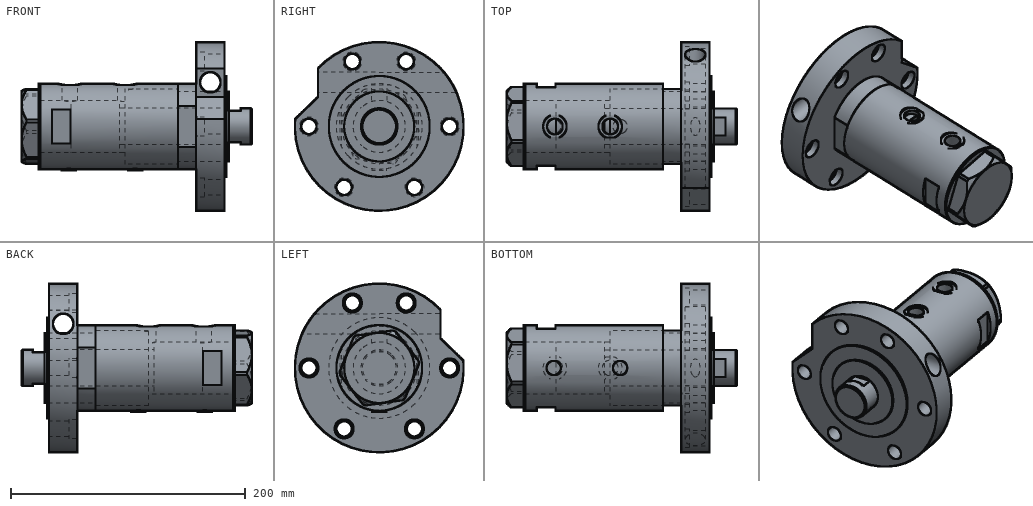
import cadquery as cq
import math


COLLAR_START = 14.5
BARREL_START = 16.1
PISTON_START = 42.0
PISTON_END = 83.5
GUIDE_START = 88.5
NECK_START = 133.5
FLANGE_START = 148.8
FLANGE_END = 173.1
REGISTER_END = 175.0
GUIDE_END = 176.7
KEY_FLAT_END = 186.7
ROD_END = 196.5

BODY_RADIUS = 36.5
BORE_RADIUS = 22.2
GUIDE_SPIGOT_RADIUS = 31.8
ROD_RADIUS = 15.5
FLANGE_DIAMETER = 144.0
FLANGE_RADIUS = FLANGE_DIAMETER / 2
REGISTER_RADIUS = 43.0
GUIDE_NOSE_RADIUS = 29.9

HEX_APOTHEM = 30.0
HEX_CORNER_RADIUS = 34.0
HEX_FACE_RADIUS = 29.9
HEX_TURN = 22.0

PORT_CENTRES = (41.3, 88.5)
PORT_RADIUS = 6.7
SPOTFACE_RADIUS = 10.0
SPOTFACE_HEIGHT = 35.4
WRENCH_FLAT_START = 26.0
WRENCH_FLAT_END = 41.7
WRENCH_FLAT_OFFSET = 33.6
BOSS_CENTRES = (40.3, 96.9)
BOSS_RADIUS = 6.0
BOSS_REACH = 37.7

NECK_FLAT_OFFSET = 32.0
BOLT_CIRCLE_RADIUS = 60.0
BOLT_ANGLES = (0.0, 67.5, 112.5, 180.0, 240.0, 300.0)
BOLT_HOLE_RADIUS = 6.5
COUNTERBORE_RADIUS = 8.0
COUNTERBORE_DEPTH = 7.0
NOTCH_FACE_Y = -52.3
NOTCH_CORNER_Z = 25.2
NOTCH_RIM_Z = 6.3
CROSS_HOLE_Z = 37.5
CROSS_HOLE_RADIUS = 8.6

KEY_FLAT_OFFSET = 13.5
ROD_CHAMFER = 1.2


def cylinder_x(radius, start, end):
    """Cylinder on the main axis between two X stations."""
    return cq.Workplane("YZ", origin=(start, 0, 0)).circle(radius).extrude(end - start)


def cylinder_z(radius, x, bottom, top):
    """Upright cylinder whose axis crosses the main axis at x."""
    return cq.Workplane("XY", origin=(x, 0, bottom)).circle(radius).extrude(top - bottom)


def flat_cutters(start, end, offset, axis):
    """Two blocks that leave flats at +offset and -offset along the given cross axis."""
    length = end - start
    depth = BODY_RADIUS - offset
    upper = (
        cq.Workplane("XY")
        .box(length, 2 * BODY_RADIUS, depth)
        .translate((start + length / 2, 0, offset + depth / 2))
    )
    pair = upper.union(upper.mirror("XY"))
    if axis == "Y":
        pair = pair.rotate((0, 0, 0), (1, 0, 0), 90)
    return pair


def make_cap():
    """Chamfered hexagon with a round collar and a spigot that closes the bore."""
    hexagon = (
        cq.Workplane("YZ")
        .polygon(6, 2 * HEX_APOTHEM, circumscribed=True)
        .extrude(COLLAR_START)
        .rotate((0, 0, 0), (1, 0, 0), HEX_TURN)
    )
    chamfer = HEX_CORNER_RADIUS - HEX_FACE_RADIUS
    corner_turning = cylinder_x(HEX_CORNER_RADIUS, 0, COLLAR_START).faces("<X").chamfer(chamfer)
    collar = cylinder_x(BODY_RADIUS, COLLAR_START, BARREL_START)
    spigot = cylinder_x(BORE_RADIUS, COLLAR_START, PISTON_START)
    return hexagon.intersect(corner_turning).union(collar).union(spigot)


def make_barrel():
    """Tube with two spotfaced ports on top, wrench flats at the sides and two bosses below."""
    barrel = cylinder_x(BODY_RADIUS, BARREL_START, NECK_START)
    for x in BOSS_CENTRES:
        barrel = barrel.union(cylinder_z(BOSS_RADIUS, x, -BOSS_REACH, 0))
    barrel = barrel.cut(flat_cutters(WRENCH_FLAT_START, WRENCH_FLAT_END, WRENCH_FLAT_OFFSET, "Y"))
    for x in PORT_CENTRES:
        barrel = barrel.cut(cylinder_z(SPOTFACE_RADIUS, x, SPOTFACE_HEIGHT, BODY_RADIUS))
        barrel = barrel.cut(cylinder_z(PORT_RADIUS, x, 0, BODY_RADIUS))
    barrel = barrel.cut(cylinder_x(BORE_RADIUS, BARREL_START, GUIDE_START))
    return barrel.cut(cylinder_x(GUIDE_SPIGOT_RADIUS, GUIDE_START, NECK_START))


def flange_notch():
    """Prism that removes the corner of the flange on its -Y side."""
    rim_y = math.sqrt(FLANGE_RADIUS**2 - NOTCH_RIM_Z**2)
    return (
        cq.Workplane("YZ", origin=(FLANGE_START, 0, 0))
        .moveTo(NOTCH_FACE_Y, FLANGE_RADIUS)
        .lineTo(NOTCH_FACE_Y, NOTCH_CORNER_Z)
        .lineTo(-rim_y, NOTCH_RIM_Z)
        .lineTo(-FLANGE_RADIUS, NOTCH_RIM_Z)
        .lineTo(-FLANGE_RADIUS, FLANGE_RADIUS)
        .close()
        .extrude(FLANGE_END - FLANGE_START)
    )


def bolt_hole(angle):
    """Counterbored hole through the flange, its counterbore opening toward the barrel."""
    y = BOLT_CIRCLE_RADIUS * math.cos(math.radians(angle))
    z = BOLT_CIRCLE_RADIUS * math.sin(math.radians(angle))
    hole = cylinder_x(BOLT_HOLE_RADIUS, FLANGE_START, FLANGE_END)
    counterbore = cylinder_x(COUNTERBORE_RADIUS, FLANGE_START, FLANGE_START + COUNTERBORE_DEPTH)
    return hole.union(counterbore).translate((0, y, z))


def make_flange():
    """Notched mounting disc with a flatted neck, a round register, bolt holes and a cross hole."""
    neck = cylinder_x(BODY_RADIUS, NECK_START, FLANGE_START)
    neck = neck.cut(flat_cutters(NECK_START, FLANGE_START, NECK_FLAT_OFFSET, "Y"))
    disc = cylinder_x(FLANGE_RADIUS, FLANGE_START, FLANGE_END).cut(flange_notch())
    for angle in BOLT_ANGLES:
        disc = disc.cut(bolt_hole(angle))
    cross_hole = (
        cq.Workplane("XZ", origin=((FLANGE_START + FLANGE_END) / 2, 0, CROSS_HOLE_Z))
        .circle(CROSS_HOLE_RADIUS)
        .extrude(FLANGE_RADIUS, both=True)
    )
    register = cylinder_x(REGISTER_RADIUS, FLANGE_END, REGISTER_END)
    flange = neck.union(disc.cut(cross_hole)).union(register)
    return flange.cut(cylinder_x(GUIDE_NOSE_RADIUS, NECK_START, REGISTER_END))


def make_rod_guide():
    """Bush around the rod: a wide spigot inside the barrel and a narrower nose through the flange."""
    guide = cylinder_x(GUIDE_SPIGOT_RADIUS, GUIDE_START, NECK_START)
    guide = guide.union(cylinder_x(GUIDE_NOSE_RADIUS, NECK_START, GUIDE_END))
    return guide.cut(cylinder_x(ROD_RADIUS, GUIDE_START, GUIDE_END))


def make_piston_rod():
    """Piston and rod in one piece, the rod end having two flats behind a chamfered tip."""
    rod = cylinder_x(ROD_RADIUS, PISTON_END, ROD_END).faces(">X").chamfer(ROD_CHAMFER)
    rod = rod.cut(flat_cutters(GUIDE_END, KEY_FLAT_END, KEY_FLAT_OFFSET, "Z"))
    return rod.union(cylinder_x(BORE_RADIUS, PISTON_START, PISTON_END))


cap = make_cap()
barrel = make_barrel()
flange = make_flange()
rod_guide = make_rod_guide()
piston_rod = make_piston_rod()

result = cq.Compound.makeCompound(
    [cap.val(), barrel.val(), flange.val(), rod_guide.val(), piston_rod.val()]
)